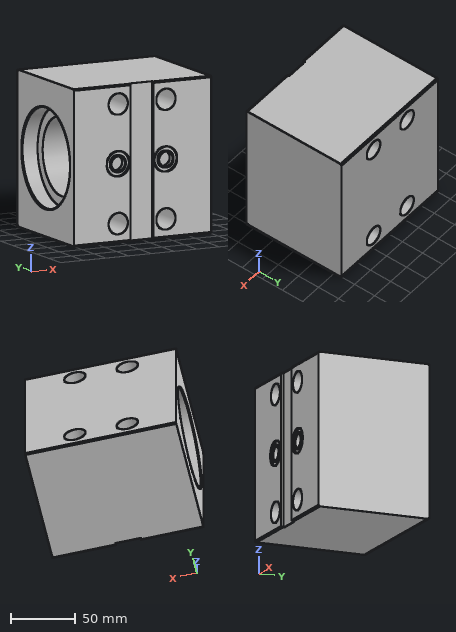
import cadquery as cq

length = 121.0
depth = 95.0
height = 125.0
edge_chamfer = 1.0

centre_x = -0.5
slot_width = 20.0
slot_depth = 2.0
column_spacing = 42.0
bolt_hole_diameter = 17.0
bolt_row_spacing = 95.0

bore_diameter = 63.0
bore_depth = 90.0
gland_diameter = 80.0
gland_depth = 14.0
gland_chamfer = 0.8

seal_diameter = 20.0
seal_depth = 1.2
collar_diameter = 13.5
port_diameter = 12.0
port_depth = 5.0

left_face = -length / 2
front_face = -depth / 2
columns = [centre_x - column_spacing / 2, centre_x + column_spacing / 2]
bolt_rows = [-bolt_row_spacing / 2, bolt_row_spacing / 2]


def make_block():
    block = cq.Workplane("XY").box(length, depth, height)
    return block.edges("|X").chamfer(edge_chamfer)


def make_slot():
    """Key slot running the full height of the -Y face."""
    cutter = cq.Workplane("XY").box(slot_width, 2 * slot_depth, height)
    return cutter.translate((centre_x, front_face, 0))


def make_bore():
    """Half section of the stepped bore, revolved about the X axis."""
    bore_radius = bore_diameter / 2
    gland_radius = gland_diameter / 2
    profile = (
        cq.Workplane("XY", origin=(left_face, 0, 0))
        .moveTo(0, 0)
        .lineTo(0, gland_radius + gland_chamfer)
        .lineTo(gland_chamfer, gland_radius)
        .lineTo(gland_depth, gland_radius)
        .lineTo(gland_depth, bore_radius)
        .lineTo(bore_depth, bore_radius)
        .lineTo(bore_depth, 0)
        .close()
    )
    return profile.revolve(360, (0, 0, 0), (1, 0, 0))


def front_cylinder(x, z, diameter, reach):
    """Cylinder running into the block from the -Y face."""
    face = cq.Workplane("XZ", origin=(x, front_face, z))
    return face.circle(diameter / 2).extrude(-reach)


def make_port(x):
    """Seal recess around a thin collar, with a blind port in the middle."""
    recess = front_cylinder(x, 0, seal_diameter, seal_depth)
    collar = front_cylinder(x, 0, collar_diameter, seal_depth)
    port = front_cylinder(x, 0, port_diameter, port_depth)
    return recess.cut(collar).union(port)


result = make_block().cut(make_slot()).cut(make_bore())
for column in columns:
    result = result.cut(make_port(column))
    for row in bolt_rows:
        result = result.cut(front_cylinder(column, row, bolt_hole_diameter, depth))